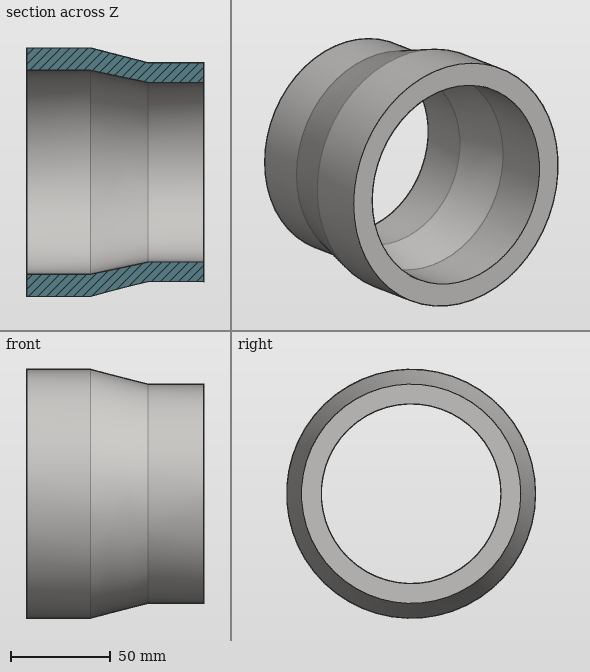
import cadquery as cq

wide_outer_diameter = 125.0
wide_bore_diameter = 102.2
narrow_outer_diameter = 110.0
narrow_bore_diameter = 90.0

wide_length = 32.0
taper_length = 29.0
narrow_length = 28.0

taper_start = wide_length
taper_end = taper_start + taper_length
total_length = taper_end + narrow_length


def reducer_solid(wide_diameter, narrow_diameter):
    """Solid of revolution: wide cylinder, cone, narrow cylinder."""
    wide_radius = wide_diameter / 2
    narrow_radius = narrow_diameter / 2
    half_profile = (
        cq.Workplane("XY")
        .lineTo(0, wide_radius)
        .lineTo(taper_start, wide_radius)
        .lineTo(taper_end, narrow_radius)
        .lineTo(total_length, narrow_radius)
        .lineTo(total_length, 0)
        .close()
    )
    return half_profile.revolve(360, (0, 0, 0), (1, 0, 0))


outer_body = reducer_solid(wide_outer_diameter, narrow_outer_diameter)
bore = reducer_solid(wide_bore_diameter, narrow_bore_diameter)

result = outer_body.cut(bore)